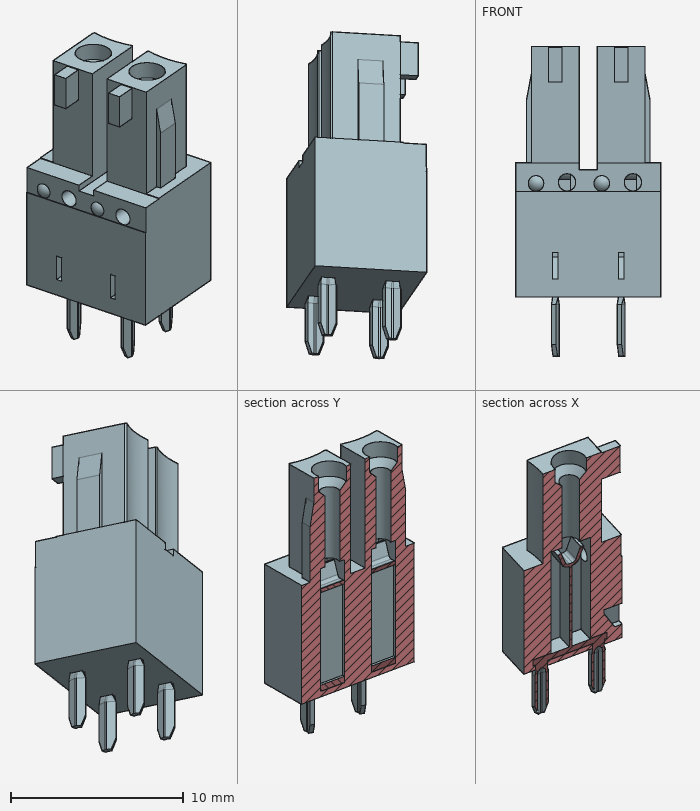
import cadquery as cq
import math

pitch = 3.81
pole_x = (-pitch / 2, pitch / 2)

body_width = 8.41
body_back = 3.15
body_front = -3.45
body_height = 7.79
gap_width = 1.04
gap_floor = 7.37

strip_bottom = 6.12
strip_step = 0.04

tower_width = 2.79
tower_back = 2.05
tower_front = -2.07
tower_top = 14.51
scallop_sag = 0.17
corner_width = 0.05
corner_depth = 0.11

key_width = 0.78
key_front = -3.33
key_height = 2.0
key_drop = 0.05

rib_thickness = 0.28
rib_depth = 1.48
rib_center_y = -0.29
rib_shoulder = 11.42
rib_top = 12.92

mouth_diameter = 2.1
mouth_depth = 1.0
bore_diameter = 1.2
cone_depth = (mouth_diameter - bore_diameter) / 2

dome_diameter = 0.9
dome_height = 0.22
dome_root = 0.3
dome_offset_x = -1.12
dome_z = 6.58
window_diameter = 1.0
window_offset_x = 0.68
window_z = 6.64
slot_width = 0.33
slot_bottom = 1.04
slot_top = 2.58
slot_ledge = 2.32
slot_floor_depth = 0.5
slot_depth = 1.2

chamber_top = 8.4
chamber_half_depth = 1.3

contact_width = 1.76
trough_floor = 6.8
trough_half_flat = 0.11
sheet = 0.25
bend_radius = 0.24
arm_angle = math.radians(70)
arm_length = 0.9
bar_bottom = 0.4
bar_top = 0.8
pin_offset_y = 0.05
pin_pitch = 3.81
pin_length = 3.43
neck_length = 0.42
neck_thickness = 0.33
neck_width = 0.78
pin_thickness = 0.46
pin_half_width = 0.55
pin_crest_half_width = 0.45
pin_edge_x = 0.03
pin_fold_half_width = 0.05
groove_depth = 0.14
pin_tip_inset = 0.29
pin_taper_height = 0.68


def box(x_range, y_range, z_range):
    size = [high - low for low, high in (x_range, y_range, z_range)]
    corner = (x_range[0], y_range[0], z_range[0])
    return cq.Workplane("XY").box(*size, centered=False).translate(corner)


def centered_range(center, width):
    return (center - width / 2, center + width / 2)


def make_body():
    x_range = centered_range(0, body_width)
    strip_face = body_front + strip_step
    strip_top = body_height - strip_step
    body = box(x_range, (body_front, body_back), (0, body_height))
    top_step = box(x_range, (body_front, tower_front), (strip_top, body_height))
    front_step = box(x_range, (body_front, strip_face), (strip_bottom, body_height))
    return body.cut(top_step).cut(front_step)


def make_tower(x):
    left, right = centered_range(x, tower_width)
    outline = (
        cq.Workplane("XY")
        .moveTo(left, tower_front)
        .lineTo(right, tower_front)
        .lineTo(right, tower_back - corner_depth)
        .lineTo(right - corner_width, tower_back)
        .threePointArc((x, tower_back - scallop_sag), (left + corner_width, tower_back))
        .lineTo(left, tower_back - corner_depth)
        .close()
    )
    tower = outline.extrude(tower_top)
    key_top = tower_top - key_drop
    key = box(centered_range(x, key_width), (key_front, tower_front), (key_top - key_height, key_top))
    return tower.union(key)


def make_rib(side):
    wall = side * (pitch + tower_width) / 2
    outer = wall + side * rib_thickness
    return (
        cq.Workplane("XZ", origin=(0, rib_center_y, 0))
        .polyline([(wall, 0), (outer, 0), (outer, rib_shoulder), (wall, rib_top)])
        .close()
        .extrude(rib_depth / 2, both=True)
    )


def make_bore(x):
    mouth_floor = tower_top - mouth_depth
    return (
        cq.Workplane("XZ", origin=(x, 0, 0))
        .polyline([
            (0, chamber_top),
            (bore_diameter / 2, chamber_top),
            (bore_diameter / 2, mouth_floor - cone_depth),
            (mouth_diameter / 2, mouth_floor),
            (mouth_diameter / 2, tower_top),
            (0, tower_top),
        ])
        .close()
        .revolve(360, (0, 0, 0), (0, 1, 0))
    )


def make_dome(x):
    """Spherical cap on a short round root that sits inside the body wall."""
    height = dome_height + strip_step
    radius = dome_diameter / 2
    sphere_radius = (radius**2 + height**2) / (2 * height)
    half_angle = math.asin(radius / sphere_radius) / 2
    cap_middle = (
        sphere_radius * math.sin(half_angle),
        height - sphere_radius * (1 - math.cos(half_angle)),
    )
    return (
        cq.Workplane("XY", origin=(x + dome_offset_x, body_front + strip_step, dome_z))
        .moveTo(0, dome_root)
        .lineTo(radius, dome_root)
        .lineTo(radius, 0)
        .threePointArc((cap_middle[0], -cap_middle[1]), (0, -height))
        .close()
        .revolve(360, (0, 0, 0), (0, 1, 0))
    )


def make_window(x):
    depth = -chamber_half_depth - body_front
    center = (x + window_offset_x, -chamber_half_depth, window_z)
    return cq.Workplane("XZ", origin=center).circle(window_diameter / 2).extrude(depth)


def make_slot(x):
    return (
        cq.Workplane("YZ", origin=(x, 0, 0))
        .polyline([
            (body_front, slot_bottom),
            (body_front + slot_floor_depth, slot_bottom),
            (body_front + slot_depth, slot_ledge),
            (body_front + slot_depth, slot_top),
            (body_front, slot_top),
        ])
        .close()
        .extrude(slot_width / 2, both=True)
    )


def make_chamber(x):
    half_depth = chamber_half_depth
    return box(centered_range(x, contact_width), (-half_depth, half_depth), (bar_bottom, chamber_top))


def make_trough(x):
    """Bent sheet: a flat floor with an arm rising at a steep angle on each side."""
    bend_z = trough_floor + sheet + bend_radius

    def bend_point(radius, angle):
        return (trough_half_flat + radius * math.sin(angle), bend_z - radius * math.cos(angle))

    def arm_end(point):
        return (point[0] + arm_length * math.cos(arm_angle), point[1] + arm_length * math.sin(arm_angle))

    def mirrored(point):
        return (-point[0], point[1])

    outer_radius = bend_radius + sheet
    outer_start, outer_mid, outer_end = [bend_point(outer_radius, a) for a in (0, arm_angle / 2, arm_angle)]
    inner_start, inner_mid, inner_end = [bend_point(bend_radius, a) for a in (0, arm_angle / 2, arm_angle)]
    return (
        cq.Workplane("YZ", origin=(x, 0, 0))
        .moveTo(*mirrored(outer_start))
        .lineTo(*outer_start)
        .threePointArc(outer_mid, outer_end)
        .lineTo(*arm_end(outer_end))
        .lineTo(*arm_end(inner_end))
        .lineTo(*inner_end)
        .threePointArc(inner_mid, inner_start)
        .lineTo(*mirrored(inner_start))
        .threePointArc(mirrored(inner_mid), mirrored(inner_end))
        .lineTo(*mirrored(arm_end(inner_end)))
        .lineTo(*mirrored(arm_end(outer_end)))
        .lineTo(*mirrored(outer_end))
        .threePointArc(mirrored(outer_mid), mirrored(outer_start))
        .close()
        .extrude(contact_width / 2, both=True)
    )


def mirrored_section(half):
    return half + [(px, -py) for px, py in reversed(half)]


def pin_section():
    """Folded strip: a shallow vee groove on the -X side and a vee back on the +X side."""
    back_x = pin_thickness / 2
    return mirrored_section([
        (groove_depth - back_x, pin_fold_half_width),
        (-back_x, pin_crest_half_width),
        (pin_edge_x, pin_half_width),
        (back_x, pin_fold_half_width),
    ])


def neck_section():
    """Rectangle with the same number of points as the pin section, so that the two loft cleanly."""
    back_x = neck_thickness / 2
    return mirrored_section([
        (-back_x, pin_fold_half_width),
        (-back_x, neck_width / 2),
        (back_x, neck_width / 2),
        (back_x, pin_fold_half_width),
    ])


def make_pin_envelope():
    """Space between the two bevelled edges of a pin; it narrows toward the tip."""
    back_x = pin_thickness / 2
    bevel_slope = (pin_half_width - pin_crest_half_width) / (pin_edge_x + back_x)
    back_half_width = pin_crest_half_width + bevel_slope * pin_thickness

    def section(inset):
        return mirrored_section([
            (-back_x, pin_crest_half_width - inset),
            (back_x, back_half_width - inset),
        ])

    tip = (
        cq.Workplane("XY", origin=(0, 0, -pin_length))
        .polyline(section(pin_tip_inset)).close()
        .workplane(offset=pin_taper_height)
        .polyline(section(0)).close()
        .loft(ruled=True)
    )
    straight = (
        cq.Workplane("XY", origin=(0, 0, pin_taper_height - pin_length))
        .polyline(section(0)).close()
        .extrude(pin_length - pin_taper_height)
    )
    return straight.union(tip)


def make_pin(x, y):
    blade_top = -neck_length
    neck = cq.Workplane("XY").polyline(neck_section()).close().extrude(bar_bottom)
    flare = (
        cq.Workplane("XY")
        .polyline(neck_section()).close()
        .workplane(offset=blade_top)
        .polyline(pin_section()).close()
        .loft(ruled=True)
    )
    blade = (
        cq.Workplane("XY", origin=(0, 0, -pin_length))
        .polyline(pin_section()).close()
        .extrude(pin_length - neck_length)
    )
    blade = blade.intersect(make_pin_envelope())
    return blade.union(flare).union(neck).translate((x, y, 0))


def make_contact(x):
    pin_y = [pin_offset_y + side * pin_pitch / 2 for side in (-1, 1)]
    bar_y = (pin_y[0] - pin_half_width, pin_y[1] + pin_half_width)
    x_range = centered_range(x, contact_width)
    contact = box(x_range, bar_y, (bar_bottom, bar_top))
    stem = box(x_range, (-trough_half_flat, trough_half_flat), (bar_top, trough_floor))
    contact = contact.union(stem).union(make_trough(x))
    for y in pin_y:
        contact = contact.union(make_pin(x, y))
    return contact


def make_housing(contacts):
    housing = make_body()
    for x in pole_x:
        housing = housing.union(make_tower(x))
    for side in (-1, 1):
        housing = housing.union(make_rib(side))
    gap = box(centered_range(0, gap_width), (body_front, body_back), (gap_floor, tower_top))
    housing = housing.cut(gap)
    for x in pole_x:
        housing = housing.union(make_dome(x))
        for cutter in (make_bore(x), make_window(x), make_slot(x), make_chamber(x)):
            housing = housing.cut(cutter)
    for contact in contacts:
        housing = housing.cut(contact)
    return housing


contacts = [make_contact(x) for x in pole_x]
housing = make_housing(contacts)
result = cq.Compound.makeCompound([housing.val(), *[contact.val() for contact in contacts]])